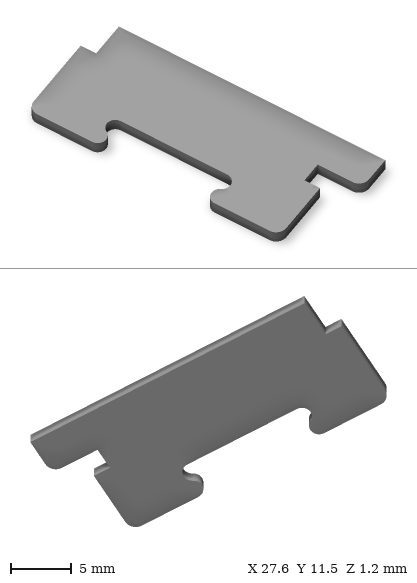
import math

import cadquery as cq

length = 27.65
width = 11.5
thickness = 1.2
corner_radius = 1.0

body_length = 24.77
left_step = 1.52
shoulder_height = 8.07
notch_floor = 6.08
notch_depth = 1.52

recess_depth = 3.12
hook_radius = 0.83
mouth_width = 10.35

body_middle = body_length / 2
hook_x = body_middle - mouth_width / 2 - hook_radius
hook_y = hook_radius
hollow_y = recess_depth - hook_radius
hollow_x = hook_x + math.sqrt((2 * hook_radius) ** 2 - (hollow_y - hook_y) ** 2)
join = ((hook_x + hollow_x) / 2, (hook_y + hollow_y) / 2)


def mirrored(point):
    """Reflect a point across the middle of the body."""
    return (2 * body_middle - point[0], point[1])


def arc_middle(center_x, center_y, angle_start, angle_end):
    """Point halfway along a hook arc between two angles in radians."""
    angle = (angle_start + angle_end) / 2
    return (center_x + hook_radius * math.cos(angle), center_y + hook_radius * math.sin(angle))


join_angle = math.atan2(hollow_y - hook_y, hollow_x - hook_x)
hook_start = (hook_x, 0)
hook_middle = arc_middle(hook_x, hook_y, -math.pi / 2, join_angle)
hollow_middle = arc_middle(hollow_x, hollow_y, join_angle + math.pi, math.pi / 2)
hollow_end = (hollow_x, recess_depth)

outline = (
    cq.Workplane("XY")
    .moveTo(0, 0)
    .lineTo(*hook_start)
    .threePointArc(hook_middle, join)
    .threePointArc(hollow_middle, hollow_end)
    .lineTo(*mirrored(hollow_end))
    .threePointArc(mirrored(hollow_middle), mirrored(join))
    .threePointArc(mirrored(hook_middle), mirrored(hook_start))
    .lineTo(body_length, 0)
    .lineTo(body_length, notch_floor)
    .lineTo(body_length - notch_depth, notch_floor)
    .lineTo(body_length - notch_depth, shoulder_height)
    .lineTo(length, shoulder_height)
    .lineTo(length, width)
    .lineTo(left_step, width)
    .lineTo(left_step, shoulder_height)
    .lineTo(0, shoulder_height)
    .close()
)
plate = outline.extrude(thickness)

rounded_corners = [(0, 0), (body_length, 0), (length, shoulder_height)]
for x, y in rounded_corners:
    corner_edge = cq.selectors.NearestToPointSelector((x, y, thickness / 2))
    plate = plate.edges("|Z").edges(corner_edge).fillet(corner_radius)

result = plate